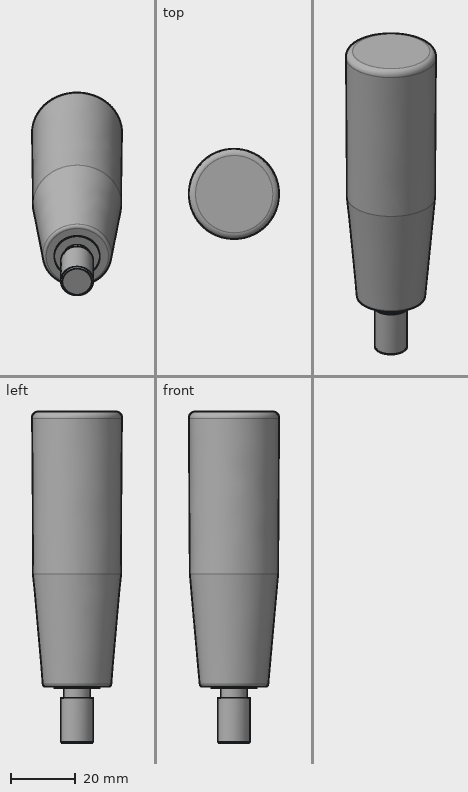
import cadquery as cq

total_length = 102.4

thread_diameter = 10.0
thread_end_diameter = 9.0
thread_chamfer = (thread_diameter - thread_end_diameter) / 2
thread_length = 14.0
neck_diameter = 8.3

bushing_diameter = 14.0
bushing_bottom = 17.0
bushing_protrusion = 0.4
bushing_length = 10.2
bushing_top = bushing_bottom + bushing_length

grip_bottom = bushing_bottom + bushing_protrusion
grip_bottom_diameter = 21.1
grip_waist_height = 52.3
grip_waist_diameter = 27.3
grip_shoulder_diameter = 28.0
shoulder_round = 2.0
bottom_round = 1.0


def make_spindle():
    """Threaded end and neck, seated in the full depth of the bushing."""
    thread = (
        cq.Workplane("XY")
        .circle(thread_diameter / 2)
        .extrude(thread_length)
        .faces("<Z")
        .chamfer(thread_chamfer)
    )
    neck = (
        cq.Workplane("XY")
        .workplane(offset=thread_length)
        .circle(neck_diameter / 2)
        .extrude(bushing_top - thread_length)
    )
    return thread.union(neck)


def make_bushing():
    """Plain sleeve around the spindle neck."""
    return (
        cq.Workplane("XY")
        .workplane(offset=bushing_bottom)
        .circle(bushing_diameter / 2)
        .circle(neck_diameter / 2)
        .extrude(bushing_length)
    )


def make_grip():
    """Revolved grip with a blind seat for the bushing."""
    body = (
        cq.Workplane("XZ")
        .moveTo(0, grip_bottom)
        .lineTo(grip_bottom_diameter / 2, grip_bottom)
        .lineTo(grip_waist_diameter / 2, grip_waist_height)
        .lineTo(grip_shoulder_diameter / 2, total_length)
        .lineTo(0, total_length)
        .close()
        .revolve(360, (0, 0, 0), (0, 1, 0))
    )
    body = body.faces(">Z").edges().fillet(shoulder_round)
    body = body.faces("<Z").edges().fillet(bottom_round)
    seat = (
        cq.Workplane("XY")
        .workplane(offset=grip_bottom)
        .circle(bushing_diameter / 2)
        .extrude(bushing_top - grip_bottom)
    )
    return body.cut(seat)


spindle = make_spindle()
bushing = make_bushing()
grip = make_grip()

result = cq.Compound.makeCompound([spindle.val(), bushing.val(), grip.val()])